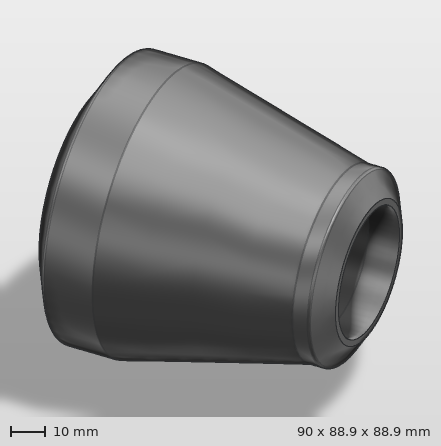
import cadquery as cq
import math

length = 90.0
large_radius = 88.9 / 2
small_radius = 60.3 / 2
large_bore_radius = 60.5 / 2
small_bore_radius = 40.3 / 2
root_face = 2.0
bevel_angle = 30.0
large_land_end = 23.0
small_land_start = 80.1

large_bore_depth = 15.0
edge_round = 1.0

large_face_radius = large_bore_radius + root_face
small_face_radius = small_bore_radius + root_face
bevel_slope = math.tan(math.radians(bevel_angle))
large_bevel = (large_radius - large_face_radius) * bevel_slope
small_bevel = (small_radius - small_face_radius) * bevel_slope

section = [
    (0, large_bore_radius),
    (0, large_face_radius),
    (large_bevel, large_radius),
    (large_land_end, large_radius),
    (small_land_start, small_radius),
    (length - small_bevel, small_radius),
    (length, small_face_radius),
    (length, small_bore_radius),
    (small_land_start, small_bore_radius),
    (large_bore_depth, large_bore_radius),
]

body = cq.Workplane("XY").polyline(section).close().revolve(360, (0, 0, 0), (1, 0, 0))


def ring_edge(x, radius):
    """Select the circular edge of the given radius at x."""
    margin = 0.1
    reach = radius + margin
    return cq.selectors.BoxSelector(
        (x - margin, -reach, -reach), (x + margin, reach, reach), boundingbox=True
    )


outer_edges = [
    (large_bevel, large_radius),
    (large_land_end, large_radius),
    (small_land_start, small_radius),
    (length - small_bevel, small_radius),
]
for x, radius in outer_edges:
    body = body.edges(ring_edge(x, radius)).fillet(edge_round)

result = body